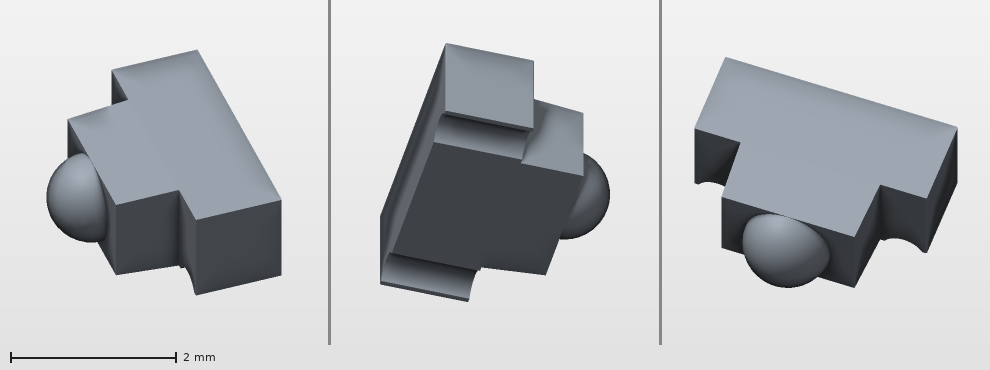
import cadquery as cq

housing_width = 3.0
housing_depth = 1.11
housing_height = 1.2
corner_chamfer = 0.01

notch_radius = 0.27
notch_offset = 1.2
notch_crown_height = 0.147

lens_base_width = 1.8
lens_base_height = housing_height
lens_base_depth = 0.798
lens_draft_angle = 3.0
dome_radius = 0.552


def make_housing():
    """Block with tiny chamfers on its upright corners and two round notches underneath."""
    block = (
        cq.Workplane("XY")
        .box(housing_width, housing_depth, housing_height)
        .translate((0, housing_depth / 2, 0))
        .edges("|Z")
        .chamfer(corner_chamfer)
    )
    notch_axis_z = -housing_height / 2 + notch_crown_height - notch_radius
    notches = (
        cq.Workplane("XZ")
        .pushPoints([(-notch_offset, notch_axis_z), (notch_offset, notch_axis_z)])
        .circle(notch_radius)
        .extrude(-housing_depth)
    )
    return block.cut(notches)


def make_lens():
    """Rectangular base tapering away from the housing, with a dome on its front face."""
    base = (
        cq.Workplane("XZ")
        .rect(lens_base_width, lens_base_height)
        .extrude(lens_base_depth, taper=lens_draft_angle)
    )
    dome = cq.Workplane("XZ", origin=(0, -lens_base_depth, 0)).sphere(dome_radius, angle1=0)
    return base.union(dome)


housing = make_housing()
lens = make_lens()

result = cq.Compound.makeCompound([housing.val(), lens.val()])